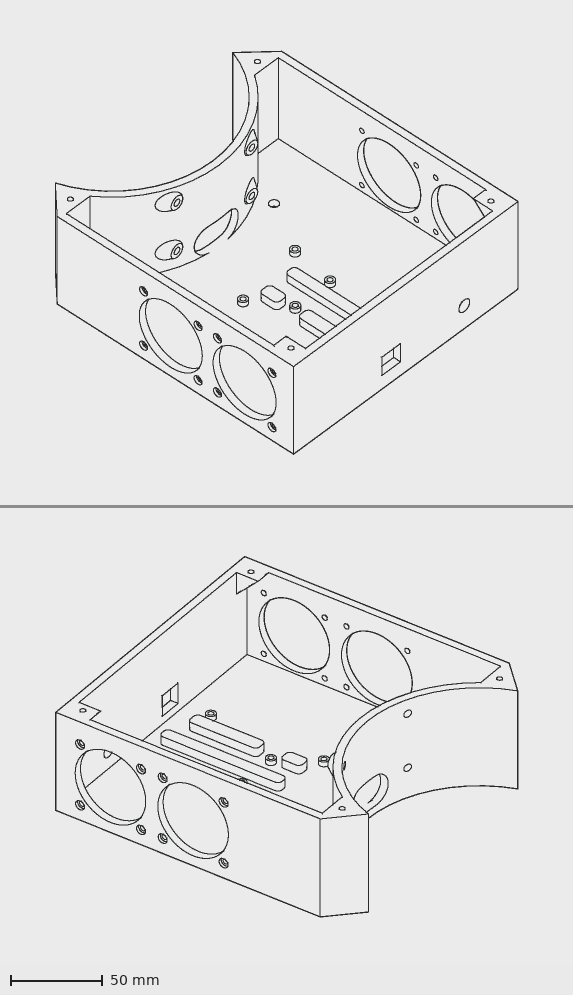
import cadquery as cq
import math

LENGTH = 195.0
WIDTH = 180.0
HEIGHT = 65.5
WALL = 5.0
FLOOR = 5.0
MID_Y = WIDTH / 2
OVERSHOOT = 2.0

NOSE_CHAMFER = 19.0
RECESS_RADIUS = 75.0
RECESS_WALL = 4.9
INNER_RADIUS = RECESS_RADIUS + RECESS_WALL
RECESS_CENTER_X = -math.sqrt(RECESS_RADIUS**2 - (MID_Y - NOSE_CHAMFER) ** 2)
POCKET_START_X = 21.0

LID_HOLE_DIAMETER = 3.3
LID_HOLE_DEPTH = 9.8
REAR_LID_HOLE = (183.9, 10.0)
NOSE_LID_HOLE = (14.8, 15.0)
REAR_BLOCK_X = 14.5
REAR_BLOCK_Y = 10.0

FAN_DIAMETER = 47.0
FAN_CENTERS_X = (103.5, 158.5)
FAN_CENTER_Z = 30.2
FAN_SCREW_PITCH = 40.5
FAN_SCREW_DIAMETER = 3.3
FAN_COUNTERBORE_DIAMETER = 5.8
FAN_COUNTERBORE_DEPTH = 2.0

MOUNT_DIAMETER = 4.5
MOUNT_PITCH_Y = 60.0
MOUNT_Z = (19.9, 56.0)
MOUNT_BOSS_BASE_X = 42.9
MOUNT_BOSS_BASE_RADIUS = 11.3
MOUNT_BOSS_END_X = 52.5
MOUNT_BOSS_END_RADIUS = 4.7
SLOT_LENGTH = 35.1
SLOT_HEIGHT = 19.9

SOCKET_Z = 17.2
JACK_DIAMETER = 8.5
JACK_Y = 136.9
PORT_Y = 78.2
PORT_WIDTH = 15.0
PORT_HEIGHT = 13.6

STANDOFF_DIAMETER = 6.0
STANDOFF_HEIGHT = 3.1
STANDOFF_HOLE = 3.3
STANDOFFS = (
    (90.0, 114.0),
    (172.8, 114.0),
    (120.7, 109.2),
    (120.7, 81.3),
    (96.3, 65.7),
    (171.6, 65.7),
)
BAR_HEIGHT = 5.7
BAR_CORNER_RADIUS = 3.0
BARS = (
    (100.8, 181.0, 98.0, 7.6),
    (100.8, 114.3, 77.8, 8.5),
    (129.5, 175.7, 77.8, 8.5),
)

FLOOR_HOLE_DIAMETER = 6.0
FLOOR_HOLE_X = 54.6
FLOOR_HOLE_PITCH = 90.9


def box_between(low, high):
    """Box from its lowest to its highest corner."""
    sizes = [b - a for a, b in zip(low, high)]
    return cq.Workplane("XY").box(*sizes, centered=False).translate(low)


def rod_x(diameter, start_x, end_x, y, z):
    """Cylinder along X."""
    return cq.Workplane("YZ", origin=(start_x, y, z)).circle(diameter / 2).extrude(end_x - start_x)


def rod_y(diameter, x, z, start_y, end_y):
    """Cylinder along Y."""
    return cq.Workplane("XZ", origin=(x, start_y, z)).circle(diameter / 2).extrude(start_y - end_y)


def rod_z(diameter, x, y, start_z, end_z):
    """Cylinder along Z."""
    return cq.Workplane("XY", origin=(x, y, start_z)).circle(diameter / 2).extrude(end_z - start_z)


def recess_cylinder(radius):
    """Full-height cylinder on the axis of the round recess."""
    return rod_z(2 * radius, RECESS_CENTER_X, MID_Y, -OVERSHOOT, HEIGHT + OVERSHOOT)


def make_outer_block():
    recess_bottom_x = RECESS_CENTER_X + RECESS_RADIUS
    return (
        cq.Workplane("XY")
        .moveTo(0, NOSE_CHAMFER)
        .lineTo(NOSE_CHAMFER, 0)
        .lineTo(LENGTH, 0)
        .lineTo(LENGTH, WIDTH)
        .lineTo(NOSE_CHAMFER, WIDTH)
        .lineTo(0, WIDTH - NOSE_CHAMFER)
        .threePointArc((recess_bottom_x, MID_Y), (0, NOSE_CHAMFER))
        .close()
        .extrude(HEIGHT)
    )


def make_pocket():
    room = box_between(
        (POCKET_START_X, WALL, FLOOR),
        (LENGTH - WALL, WIDTH - WALL, HEIGHT + OVERSHOOT),
    )
    return room.cut(recess_cylinder(INNER_RADIUS))


def make_rear_gusset(start_y):
    """Corner block under the rim, tapering at 45 degrees down the +X wall."""
    wall_x = LENGTH - WALL
    return (
        cq.Workplane("XZ", origin=(0, start_y, 0))
        .moveTo(wall_x - REAR_BLOCK_X, HEIGHT)
        .lineTo(wall_x, HEIGHT)
        .lineTo(wall_x, HEIGHT - REAR_BLOCK_X)
        .close()
        .extrude(-REAR_BLOCK_Y)
    )


def make_mount_boss(y, z):
    """Cone on the inner side of the curved wall around a screw hole, kept inside the outer block."""
    cone = (
        cq.Workplane("XY", origin=(0, y, z))
        .moveTo(MOUNT_BOSS_BASE_X, 0)
        .lineTo(MOUNT_BOSS_BASE_X, MOUNT_BOSS_BASE_RADIUS)
        .lineTo(MOUNT_BOSS_END_X, MOUNT_BOSS_END_RADIUS)
        .lineTo(MOUNT_BOSS_END_X, 0)
        .close()
        .revolve(360, (0, 0), (1, 0))
    )
    return cone.intersect(make_outer_block())


def make_bar(start_x, end_x, center_y, width):
    return (
        cq.Workplane("XY", origin=((start_x + end_x) / 2, center_y, FLOOR))
        .rect(end_x - start_x, width)
        .extrude(BAR_HEIGHT)
        .edges("|Z")
        .fillet(BAR_CORNER_RADIUS)
    )


def cut_fan(body, center_x, outer_y, inner_y):
    """Fan opening with four screw holes, counterbored from the outer face of a side wall."""
    body = body.cut(rod_y(FAN_DIAMETER, center_x, FAN_CENTER_Z, outer_y, inner_y))
    bore_end_y = outer_y + math.copysign(FAN_COUNTERBORE_DEPTH, inner_y - outer_y)
    for dx in (-FAN_SCREW_PITCH / 2, FAN_SCREW_PITCH / 2):
        for dz in (-FAN_SCREW_PITCH / 2, FAN_SCREW_PITCH / 2):
            x = center_x + dx
            z = FAN_CENTER_Z + dz
            body = body.cut(rod_y(FAN_SCREW_DIAMETER, x, z, outer_y, inner_y))
            body = body.cut(rod_y(FAN_COUNTERBORE_DIAMETER, x, z, outer_y, bore_end_y))
    return body


body = make_outer_block().cut(make_pocket())

body = body.union(make_rear_gusset(WALL))
body = body.union(make_rear_gusset(WIDTH - WALL - REAR_BLOCK_Y))
for bar in BARS:
    body = body.union(make_bar(*bar))
for x, y in STANDOFFS:
    body = body.union(rod_z(STANDOFF_DIAMETER, x, y, FLOOR, FLOOR + STANDOFF_HEIGHT))
    body = body.cut(rod_z(STANDOFF_HOLE, x, y, -OVERSHOOT, FLOOR + STANDOFF_HEIGHT))

for side in (-1, 1):
    for z in MOUNT_Z:
        y = MID_Y + side * MOUNT_PITCH_Y / 2
        body = body.union(make_mount_boss(y, z))
        body = body.cut(rod_x(MOUNT_DIAMETER, 0, MOUNT_BOSS_END_X + OVERSHOOT, y, z))

slot = (
    cq.Workplane("YZ", origin=(0, MID_Y, FLOOR + SLOT_HEIGHT / 2))
    .slot2D(SLOT_LENGTH, SLOT_HEIGHT)
    .extrude(RECESS_CENTER_X + INNER_RADIUS)
    .intersect(recess_cylinder(INNER_RADIUS))
)
body = body.cut(slot)

wall_start = LENGTH - WALL
body = body.cut(rod_x(JACK_DIAMETER, wall_start, LENGTH, JACK_Y, SOCKET_Z))
port = cq.Workplane("XY").box(WALL, PORT_WIDTH, PORT_HEIGHT)
body = body.cut(port.translate((LENGTH - WALL / 2, PORT_Y, SOCKET_Z)))

for x, edge_y in (REAR_LID_HOLE, NOSE_LID_HOLE):
    for y in (edge_y, WIDTH - edge_y):
        body = body.cut(rod_z(LID_HOLE_DIAMETER, x, y, HEIGHT - LID_HOLE_DEPTH, HEIGHT))
for side in (-1, 1):
    y = MID_Y + side * FLOOR_HOLE_PITCH / 2
    body = body.cut(rod_z(FLOOR_HOLE_DIAMETER, FLOOR_HOLE_X, y, 0, FLOOR))

for fan_x in FAN_CENTERS_X:
    body = cut_fan(body, fan_x, 0, WALL)
    body = cut_fan(body, fan_x, WIDTH, WIDTH - WALL)

result = body